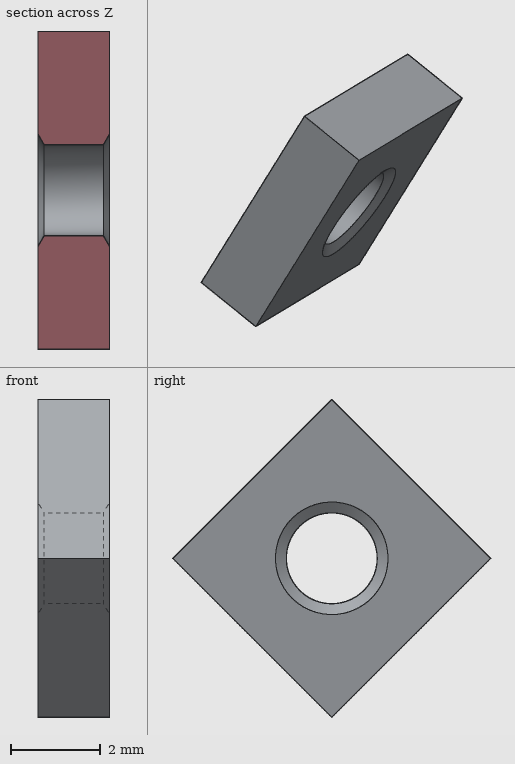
import cadquery as cq
import math

diagonal = 7.07
thickness = 1.6
hole_diameter = 2.015
countersink_diameter = 2.5
countersink_angle = 120.0

side = diagonal / math.sqrt(2)
half_thickness = thickness / 2
hole_radius = hole_diameter / 2
countersink_radius = countersink_diameter / 2
countersink_depth = (countersink_radius - hole_radius) / math.tan(math.radians(countersink_angle / 2))

plate = (
    cq.Workplane("YZ")
    .rect(side, side)
    .extrude(half_thickness, both=True)
    .rotate((0, 0, 0), (1, 0, 0), 45)
)

hole = (
    cq.Workplane("XY")
    .moveTo(-half_thickness, 0)
    .lineTo(-half_thickness, countersink_radius)
    .lineTo(-half_thickness + countersink_depth, hole_radius)
    .lineTo(half_thickness - countersink_depth, hole_radius)
    .lineTo(half_thickness, countersink_radius)
    .lineTo(half_thickness, 0)
    .close()
    .revolve(360, (0, 0, 0), (1, 0, 0))
)

result = plate.cut(hole)